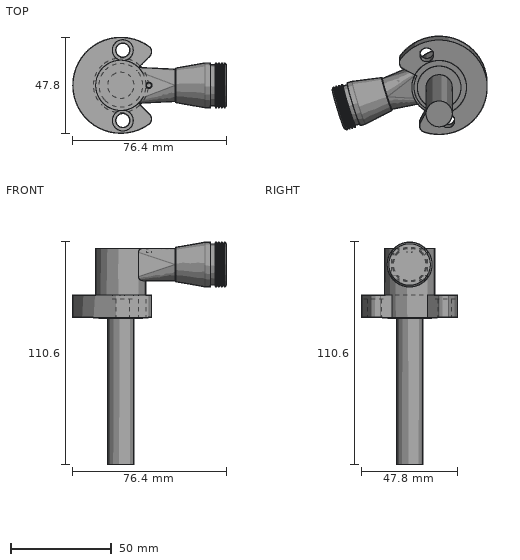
import cadquery as cq
import math


shaft_radius = 6.5
shaft_length = 73.2
boss_radius = 12.5
boss_top = 34.3

flange_radius = 23.9
flange_thickness = 11.0
notch_half_angle = 45.0
horn_round = 3.3

screw_hole_x = 1.0
screw_hole_y = 17.5
screw_hole_radius = 3.4
counterbore_radius = 5.2
counterbore_depth = 2.0

seat_radii = (13.6, 10.8)
seat_step_height = 0.3

neck_radius = 8.1
neck_start_x = 8.3
neck_end_x = 27.0
neck_half_width = 9.0
neck_corner_radius = 1.9
axis_z = boss_top - neck_radius

cone_start_x = 27.3
cone_start_radius = 8.6
outlet_radius = 11.2
collar_start_x = 41.8
collar_end_x = 44.5
relief_radius = 10.3
thread_start_x = 46.7
outlet_end_x = 52.5
thread_pitch = 1.4
thread_turns = 4
thread_flank = 0.4
thread_crest = 0.3
end_chamfer = 0.9

vent_x = 13.9
vent_radius = 1.2
vent_depth = 2.2
vent_chamfer = 0.3


def polar(radius, angle):
    return (radius * math.cos(angle), radius * math.sin(angle))


def make_flange():
    """Round plate with a wedge notch facing +X, rounded horns and two counterbored holes."""
    horn_centre_radius = flange_radius - horn_round
    notch_angle = math.radians(notch_half_angle)
    horn_angle = notch_angle + math.asin(horn_round / horn_centre_radius)
    horn_centre = polar(horn_centre_radius, horn_angle)
    rim_point = polar(flange_radius, horn_angle)
    tip_point = (horn_centre[0] + horn_round, horn_centre[1])
    flat_point = polar(math.sqrt(horn_centre_radius**2 - horn_round**2), notch_angle)

    def mirrored(point):
        return (point[0], -point[1])

    plate = (
        cq.Workplane("XY")
        .moveTo(0, 0)
        .lineTo(*flat_point)
        .threePointArc(tip_point, rim_point)
        .threePointArc((-flange_radius, 0), mirrored(rim_point))
        .threePointArc(mirrored(tip_point), mirrored(flat_point))
        .close()
        .extrude(flange_thickness)
    )
    return (
        plate.faces(">Z")
        .workplane(origin=(0, 0, flange_thickness))
        .pushPoints([(screw_hole_x, screw_hole_y), (screw_hole_x, -screw_hole_y)])
        .cboreHole(2 * screw_hole_radius, 2 * counterbore_radius, counterbore_depth)
    )


def make_seat():
    """Two shallow discs around the shaft, each one step lower and narrower than the last."""
    seat = cq.Workplane("XY")
    for step, radius in enumerate(seat_radii, start=1):
        seat = seat.union(cq.Workplane("XY").circle(radius).extrude(-step * seat_step_height))
    return seat


def make_neck():
    """Four flat triangles and four conical corners joining a rounded rectangle to a circle."""
    corner_y = neck_half_width - neck_corner_radius
    corner_z = neck_radius - neck_corner_radius

    def quarter_arc(x, centre_y, centre_z, radius, start_angle):
        points = []
        for turn in (0, 45, 90):
            y, z = polar(radius, math.radians(start_angle + turn))
            points.append(cq.Vector(x, centre_y + y, axis_z + centre_z + z))
        return cq.Edge.makeThreePointArc(*points)

    start_arcs = []
    end_arcs = []
    for start_angle, side_y, side_z in ((0, 1, 1), (90, -1, 1), (180, -1, -1), (270, 1, -1)):
        start_arcs.append(
            quarter_arc(
                neck_start_x, side_y * corner_y, side_z * corner_z, neck_corner_radius, start_angle
            )
        )
        end_arcs.append(quarter_arc(neck_end_x, 0, 0, neck_radius, start_angle))

    faces = []
    start_edges = []
    for i in range(4):
        following = (i + 1) % 4
        flat_from = start_arcs[i].endPoint()
        flat_to = start_arcs[following].startPoint()
        apex = end_arcs[i].endPoint()
        faces.append(cq.Face.makeRuledSurface(start_arcs[i], end_arcs[i]))
        faces.append(cq.Face.makeFromWires(cq.Wire.makePolygon([flat_from, flat_to, apex], close=True)))
        start_edges += [start_arcs[i], cq.Edge.makeLine(flat_from, flat_to)]
    faces.append(cq.Face.makeFromWires(cq.Wire.assembleEdges(start_edges)))
    faces.append(cq.Face.makeFromWires(cq.Wire.assembleEdges(end_arcs)))
    neck = cq.Solid.makeSolid(cq.Shell.makeShell(faces)).fix()
    return cq.Workplane("XY").newObject([neck])


def make_outlet():
    """Turned cone, collar, relief groove and ridged thread about the outlet axis."""
    profile = [
        (neck_end_x, 0),
        (neck_end_x, neck_radius),
        (cone_start_x, cone_start_radius),
        (collar_start_x, outlet_radius),
        (collar_end_x, outlet_radius),
        (collar_end_x, relief_radius),
    ]
    for turn in range(thread_turns):
        ridge_x = thread_start_x + turn * thread_pitch
        crest_x = ridge_x + thread_flank
        profile += [(ridge_x, relief_radius), (crest_x, outlet_radius)]
        if turn < thread_turns - 1:
            profile.append((crest_x + thread_crest, outlet_radius))
            profile.append((crest_x + thread_crest + thread_flank, relief_radius))
    profile += [
        (outlet_end_x - end_chamfer, outlet_radius),
        (outlet_end_x, outlet_radius - end_chamfer),
        (outlet_end_x, 0),
    ]
    return (
        cq.Workplane("XY")
        .polyline(profile)
        .close()
        .revolve(360, (0, 0, 0), (1, 0, 0))
        .translate((0, 0, axis_z))
    )


def make_vent():
    """Cutter for the blind vent hole with a chamfered mouth."""
    mouth_radius = vent_radius + vent_chamfer
    return (
        cq.Workplane("XZ")
        .polyline(
            [
                (0, 0),
                (mouth_radius, 0),
                (vent_radius, -vent_chamfer),
                (vent_radius, -vent_depth),
                (0, -vent_depth),
            ]
        )
        .close()
        .revolve(360, (0, 0, 0), (0, 1, 0))
        .translate((vent_x, 0, boss_top))
    )


shaft = cq.Workplane("XY").circle(shaft_radius).extrude(-shaft_length)
boss = cq.Workplane("XY").circle(boss_radius).extrude(boss_top)

result = (
    make_flange()
    .union(shaft)
    .union(make_seat())
    .union(boss)
    .union(make_neck())
    .union(make_outlet())
    .cut(make_vent())
)